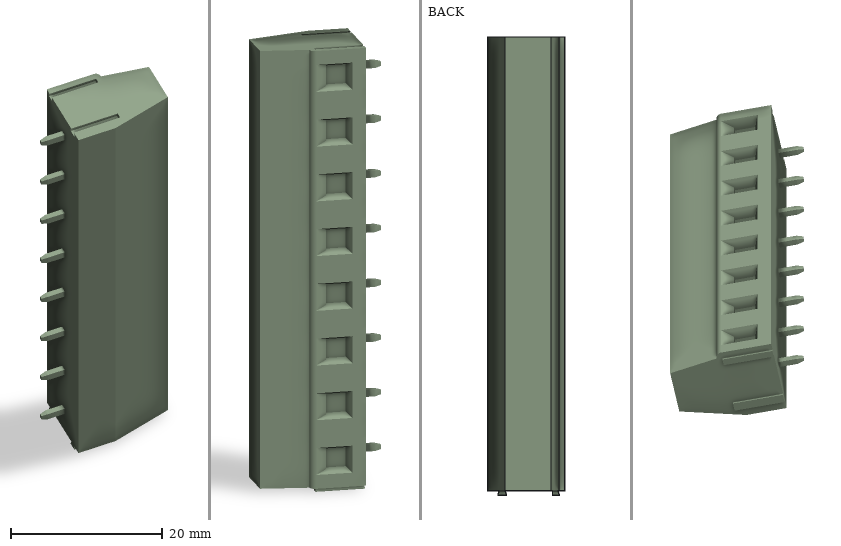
import cadquery as cq

terminal_count = 8
total_height = 60.6
rib_height = 0.6
rib_length = 6.7
body_height = total_height - rib_height
pitch = body_height / terminal_count

body_width = 10.2
body_depth = 14.0
crown_left = 1.8
crown_right = 7.9
ledge_y = 7.5
ledge_width = 0.8
ledge_radius = 0.7
shoulder_y = 5.4
entry_wall_top = ledge_y - ledge_radius

funnel_bottom = 1.9
funnel_height = 3.7
funnel_depth = 1.45
funnel_draft = 0.55
ramp_depth = 1.1
ramp_end_y = 5.2

pin_x = 5.35
pin_size_x = 0.8
pin_size_z = 0.95
pin_length = 3.3
pin_tip_length = 0.85
pin_tip_inset = 0.2

half_rib_left = 0.7
half_rib_right = 1.65
full_rib_left = 7.7
full_rib_right = 8.85
rib_undercut = 0.2
rib_land = 0.1
groove_depth = 0.6
groove_land = 0.4


def make_housing():
    return (
        cq.Workplane("XY")
        .moveTo(0, 0)
        .lineTo(body_width, 0)
        .lineTo(body_width, shoulder_y)
        .lineTo(crown_right, body_depth)
        .lineTo(crown_left, body_depth)
        .lineTo(ledge_width, ledge_y)
        .lineTo(ledge_radius, ledge_y)
        .radiusArc((0, entry_wall_top), -ledge_radius)
        .close()
        .extrude(body_height)
    )


def make_dovetail(left, right, right_undercut, height, land):
    """Bar from the mounting face, spanning -height to 0 in Z and widest at its low end."""
    widest_top = land - height
    return (
        cq.Workplane("XZ")
        .moveTo(left + rib_undercut, 0)
        .lineTo(left, widest_top)
        .lineTo(left, -height)
        .lineTo(right, -height)
        .lineTo(right, widest_top)
        .lineTo(right - right_undercut, 0)
        .close()
        .extrude(-rib_length)
    )


def make_dovetail_pair(height, land):
    half_dovetail = make_dovetail(half_rib_left, half_rib_right, 0, height, land)
    full_dovetail = make_dovetail(full_rib_left, full_rib_right, rib_undercut, height, land)
    return half_dovetail.union(full_dovetail)


def make_funnel():
    """Drafted pocket centred on Z = 0, narrowed by a ramp on its ledge side."""
    mouth_length = entry_wall_top - funnel_bottom
    mouth_middle = (entry_wall_top + funnel_bottom) / 2
    drafted = (
        cq.Workplane("YZ")
        .center(mouth_middle, 0)
        .rect(mouth_length, funnel_height)
        .workplane(offset=funnel_depth)
        .rect(mouth_length - 2 * funnel_draft, funnel_height - 2 * funnel_draft)
        .loft(ruled=True)
    )
    ramp_limit = (
        cq.Workplane("XY")
        .moveTo(0, funnel_bottom)
        .lineTo(0, entry_wall_top)
        .lineTo(ramp_depth, ramp_end_y)
        .lineTo(funnel_depth, ramp_end_y)
        .lineTo(funnel_depth, funnel_bottom)
        .close()
        .extrude(funnel_height / 2, both=True)
    )
    return drafted.intersect(ramp_limit)


def make_pin():
    """Rectangular pin with a tapered tip, centred on Z = 0."""
    shank_length = pin_length - pin_tip_length
    shank = cq.Workplane("XZ").center(pin_x, 0).rect(pin_size_x, pin_size_z).extrude(shank_length)
    tip = (
        shank.faces("<Y")
        .workplane(centerOption="CenterOfMass")
        .rect(pin_size_x, pin_size_z)
        .workplane(offset=pin_tip_length)
        .rect(pin_size_x - 2 * pin_tip_inset, pin_size_z - 2 * pin_tip_inset)
        .loft(ruled=True, combine=False)
    )
    return shank.union(tip)


ribs = make_dovetail_pair(rib_height, rib_land)
grooves = make_dovetail_pair(groove_depth, groove_land).translate((0, 0, body_height))
funnel = make_funnel()
pin = make_pin()

result = make_housing().union(ribs).cut(grooves)
for terminal in range(terminal_count):
    terminal_position = (0, 0, (terminal + 0.5) * pitch)
    result = result.cut(funnel.translate(terminal_position))
    result = result.union(pin.translate(terminal_position))